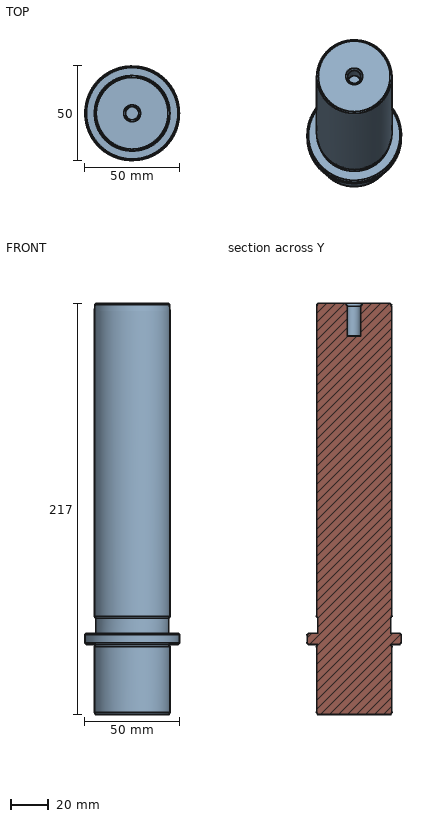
import cadquery as cq

length = 217.0
shaft_radius = 20.0
neck_radius = 19.3
flange_radius = 25.0

flange_bottom = 36.9
flange_top = 43.0
neck_top = 50.8

flange_chamfer = 0.9
step_height = 1.0
lead_in_length = 4.1
lead_in_radius = 19.7
tip_chamfer = 0.9

hole_diameter = 7.0
countersink_diameter = 9.0
countersink_angle = 60.0
hole_depth = 17.4


def turned_body():
    """Revolve the half profile of the pin, listed from foot to tip."""
    flange_face_radius = flange_radius - flange_chamfer
    profile = [
        (0, 0),
        (neck_radius, 0),
        (shaft_radius, step_height),
        (shaft_radius, flange_bottom - step_height),
        (neck_radius, flange_bottom),
        (flange_face_radius, flange_bottom),
        (flange_radius, flange_bottom + flange_chamfer),
        (flange_radius, flange_top - flange_chamfer),
        (flange_face_radius, flange_top),
        (neck_radius, flange_top),
        (neck_radius, neck_top),
        (shaft_radius, neck_top + step_height),
        (shaft_radius, length - lead_in_length),
        (lead_in_radius, length - tip_chamfer),
        (lead_in_radius - tip_chamfer, length),
        (0, length),
    ]
    return cq.Workplane("XZ").polyline(profile).close().revolve(360, (0, 0), (0, 1))


def drill_center_hole(body):
    """Drill a blind countersunk hole into the tip."""
    return (
        body.faces(">Z")
        .workplane()
        .cskHole(hole_diameter, countersink_diameter, countersink_angle, hole_depth)
    )


result = drill_center_hole(turned_body())